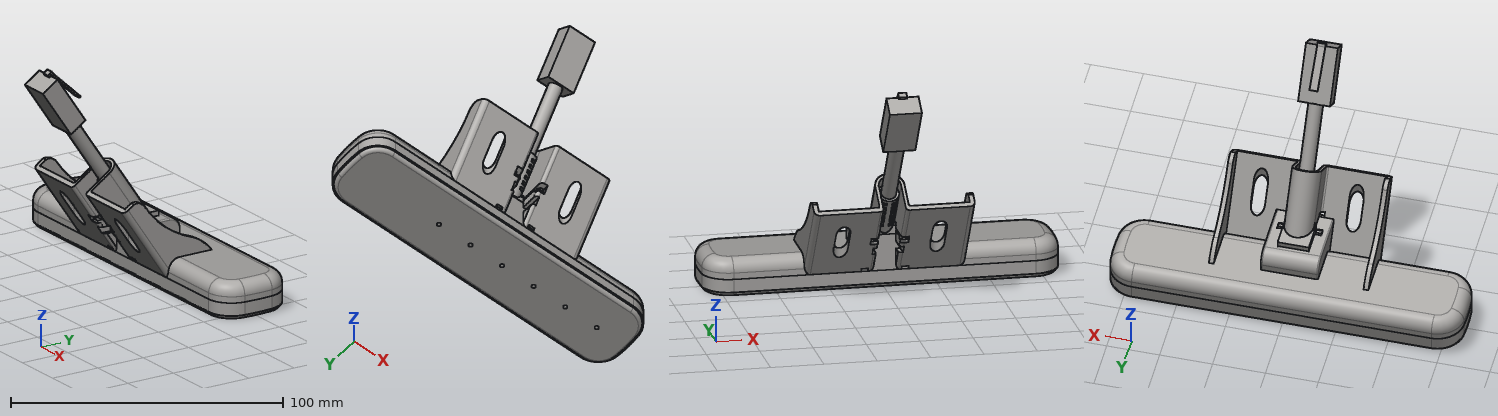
import cadquery as cq
import math

lamp_length = 134.0
lamp_width = 30.5
end_bulge = 0.3
end_arc_half_width = 6.0
parting_z = 7.0
housing_top_z = 14.5
top_edge_radius = 5.0
dome_height = 0.3
base_bottom_z = dome_height
base_edge_z = 1.9
base_step = 0.5
base_edge_radius = 1.5

dome_radius = 0.8
dome_pitch = 15.0
dome_first_x = -23.3
dome_count = 6

far_front_y = -80.4
far_back_y = 53.6
far_top_z = 107.2

cable_tilt = math.radians(56)
mouth_y, mouth_z = -24.9, 42.6
cable_frame = cq.Plane(
    origin=(0, mouth_y, mouth_z),
    xDir=(1, 0, 0),
    normal=(0, -math.cos(cable_tilt), math.sin(cable_tilt)),
)

bracket_length = 53.6
side_wall_blank_top = 16.1
bracket_half_width = 30.2
side_wall = 1.9
flange_thickness = 2.0
flange_drop = 11.9
outer_bend_radius = 2.1
tunnel_inner_radius = 4.2
tunnel_radius = 5.5
tunnel_bend_radius = 1.3
tunnel_root_radius = 0.7
tunnel_end_z = 24.9

wall_heel = (4.0, 14.2)
wall_heel_mid = (0.5, 18.0)
wall_dip_start = (-3.8, 20.6)
wall_dip_mid = (-16.0, 27.0)
wall_dip_end = (-25.9, 37.4)
wall_crest_mid = (-28.5, 39.0)
wall_crest = (-31.5, 38.5)

slot_x = 18.1
slot_y = -25.5
slot_width = 5.4
slot_length = 9.9

hump_half_width = 10.9
hump_back_y = 2.8
hump_front_y = -21.7
hump_top_z = 22.0
hump_back_radius = 4.8
hump_rim_radius = 0.5
tab_half_width = 7.1
tab_front_y = -23.7
tab_bottom_z = 20.0
tab_top_z = 21.0
window_top_z = 22.8
channel_back_y = -lamp_width / 2
lower_window_half_width = 5.8
lower_window_bottom_z = 15.1
lower_window_top_z = 18.0
snap_pocket_half_span = 8.3
snap_pocket_length = 2.8
snap_pocket_depth = 4.0
snap_wing_length = 1.3
snap_wing_top_z = 21.5
foot_notch_inner_x = 6.3
foot_notch_width = 2.5
foot_notch_height = 1.3

block_half_width = 5.9
block_back_y = -3.4
block_bottom_z = 20.8
block_top_z = 24.0
sleeve_radius = 3.9
sleeve_top = -4.4
sleeve_bottom = -29.5
groove_count = 6
groove_pitch = 2.4
groove_first = -7.2
groove_width = 1.1
groove_depth = 1.0
groove_spine_half_width = 1.0

cable_radius = 2.8
cable_start = -24.1
plug_width = 12.0
plug_height = 7.8
plug_length = 22.1
plug_start = 25.2
latch_width = 3.1
latch_head_length = 1.1
latch_head_bottom = 3.1
latch_head_top = 5.2
latch_root = 4.4
latch_arm_reach = 16.2
latch_tip_bottom = 8.2
latch_thickness = 0.8


def box(x_min, x_max, y_min, y_max, z_min, z_max):
    """Axis-parallel block between the given limits."""
    block = cq.Workplane("XY").box(x_max - x_min, y_max - y_min, z_max - z_min, centered=False)
    return block.translate((x_min, y_min, z_min))


def centred_box(half_width, y_min, y_max, z_min, z_max):
    """Block that is symmetrical about the YZ plane."""
    return box(-half_width, half_width, y_min, y_max, z_min, z_max)


def lamp_slab(z_min, z_max, inset=0.0):
    """Slab with the lamp's outline: straight sides, bowed ends and round corners tangent to both."""
    tip_x = lamp_length / 2
    half_width = lamp_width / 2
    end_x = tip_x - end_bulge
    end_slope = 2 * math.atan(end_bulge / end_arc_half_width)
    corner_radius = (half_width - end_arc_half_width) / (1 - math.sin(end_slope))
    side_x = end_x - corner_radius * math.cos(end_slope)
    outline = (
        cq.Workplane("XY")
        .workplane(offset=z_min)
        .moveTo(-side_x, -half_width)
        .lineTo(side_x, -half_width)
        .tangentArcPoint((end_x, -end_arc_half_width), relative=False)
        .threePointArc((tip_x, 0), (end_x, end_arc_half_width))
        .tangentArcPoint((side_x, half_width), relative=False)
        .lineTo(-side_x, half_width)
        .tangentArcPoint((-end_x, end_arc_half_width), relative=False)
        .threePointArc((-tip_x, 0), (-end_x, -end_arc_half_width))
        .tangentArcPoint((-side_x, -half_width), relative=False)
        .close()
    )
    if inset > 0:
        outline = outline.offset2D(-inset)
    return outline.extrude(z_max - z_min)


def make_dome():
    """Shallow spherical cap that stands on Z = 0 and is rooted in the base."""
    sphere_radius = (dome_radius**2 + dome_height**2) / (2 * dome_height)
    cap = cq.Workplane("XY").sphere(sphere_radius).translate((0, 0, sphere_radius))
    return cap.intersect(centred_box(
        2 * dome_radius, -2 * dome_radius, 2 * dome_radius, 0, 2 * dome_height))


def make_base():
    """Lower part of the lamp, with a stepped, rounded bottom edge and a row of small domes."""
    base = lamp_slab(base_edge_z, parting_z)
    rim = lamp_slab(base_bottom_z, base_edge_z, base_step)
    rim = rim.faces("<Z").edges().fillet(base_edge_radius)
    base = base.union(rim)
    for i in range(dome_count):
        base = base.union(make_dome().translate((dome_first_x + i * dome_pitch, 0, 0)))
    return base


def bracket_half():
    """Right-hand half of the bent sheet: tunnel leg, flange and an untrimmed side wall."""
    flange_top = flange_thickness - flange_drop
    sheet = (
        cq.Workplane(cable_frame)
        .moveTo(tunnel_inner_radius, 0)
        .lineTo(tunnel_inner_radius, -flange_drop)
        .lineTo(bracket_half_width, -flange_drop)
        .lineTo(bracket_half_width, side_wall_blank_top)
        .lineTo(bracket_half_width - side_wall, side_wall_blank_top)
        .lineTo(bracket_half_width - side_wall, flange_top)
        .lineTo(tunnel_radius, flange_top)
        .lineTo(tunnel_radius, 0)
        .close()
        .extrude(-bracket_length)
    )
    corners = (
        (tunnel_inner_radius, -flange_drop, tunnel_bend_radius),
        (tunnel_radius, flange_top, tunnel_root_radius),
        (bracket_half_width, -flange_drop, outer_bend_radius),
    )
    for x, drop, radius in corners:
        edge_middle = cable_frame.toWorldCoords((x, drop, -bracket_length / 2))
        sheet = sheet.edges(cq.selectors.NearestToPointSelector(edge_middle)).fillet(radius)
    return sheet


def side_wall_trim():
    """Space above the S-shaped upper edge of the side walls."""
    inner_x = bracket_half_width - 1.5 * side_wall
    region = (
        cq.Workplane("YZ")
        .workplane(offset=inner_x)
        .moveTo(*wall_heel)
        .threePointArc(wall_heel_mid, wall_dip_start)
        .threePointArc(wall_dip_mid, wall_dip_end)
        .threePointArc(wall_crest_mid, wall_crest)
        .lineTo(wall_crest[0], far_top_z)
        .lineTo(far_back_y, far_top_z)
        .lineTo(far_back_y, 0)
        .lineTo(wall_heel[0], 0)
        .close()
        .extrude(2 * side_wall)
    )
    return region.union(region.mirror("YZ"))


def make_bracket():
    """Bent bracket with its tunnel, trimmed side walls, mounting slots, notches and tab window."""
    half = bracket_half()
    crown = (
        cq.Workplane(cable_frame)
        .moveTo(-tunnel_radius, 0)
        .threePointArc((0, tunnel_radius), (tunnel_radius, 0))
        .lineTo(tunnel_inner_radius, 0)
        .threePointArc((0, tunnel_inner_radius), (-tunnel_inner_radius, 0))
        .close()
        .extrude(-bracket_length)
    )
    bracket = half.union(half.mirror("YZ")).union(crown)
    bracket = bracket.cut(side_wall_trim())
    bracket = bracket.cut(centred_box(
        2 * tunnel_radius, channel_back_y, far_back_y, 0, tunnel_end_z))
    bracket = bracket.intersect(centred_box(
        lamp_length, far_front_y, far_back_y, parting_z, far_top_z))
    slots = (
        cq.Workplane("XY")
        .pushPoints([(-slot_x, slot_y), (slot_x, slot_y)])
        .slot2D(slot_length, slot_width, 90)
        .extrude(far_top_z)
    )
    bracket = bracket.cut(slots)
    foot_notch = box(
        foot_notch_inner_x, foot_notch_inner_x + foot_notch_width, far_front_y, channel_back_y,
        parting_z, parting_z + foot_notch_height)
    bracket = bracket.cut(foot_notch).cut(foot_notch.mirror("YZ"))
    return bracket.cut(centred_box(
        tab_half_width, far_front_y, channel_back_y, tab_bottom_z, window_top_z))


def space_in_front_of_flange():
    """Everything on the front side of the middle plane of the bracket's flanges."""
    reach = bracket_length
    middle_drop = flange_drop - flange_thickness / 2
    return (
        cq.Workplane(cable_frame)
        .center(0, -middle_drop - reach / 2)
        .rect(lamp_length, reach)
        .extrude(-bracket_length)
    )


def make_hump():
    """Rounded hump behind the flanges, with a tab that reaches into the bracket's window."""
    hump = centred_box(hump_half_width, hump_front_y, hump_back_y, parting_z, hump_top_z)
    hump = hump.edges(">Y and >Z").fillet(hump_back_radius)
    hump = hump.faces("<X or >X").edges("not (<Z or <Y)").fillet(hump_rim_radius)
    hump = hump.cut(space_in_front_of_flange())
    tab = centred_box(tab_half_width, tab_front_y, channel_back_y, tab_bottom_z, tab_top_z)
    return hump.union(tab)


def make_housing():
    """Upper part of the lamp in one piece with the hump and the bracket."""
    housing = lamp_slab(parting_z, housing_top_z).faces(">Z").edges().fillet(top_edge_radius)
    housing = housing.union(make_hump()).union(make_bracket())
    housing = housing.cut(centred_box(
        tunnel_inner_radius, far_front_y, channel_back_y, parting_z, window_top_z))
    housing = housing.cut(centred_box(
        lower_window_half_width, far_front_y, channel_back_y,
        lower_window_bottom_z, lower_window_top_z))
    housing = housing.cut(centred_box(
        block_half_width, channel_back_y, block_back_y, block_bottom_z, tunnel_end_z))
    return housing.cut(snap_pockets())


def snap_pockets():
    """Pockets in the hump on both sides of the gland block."""
    floor_z = hump_top_z - snap_pocket_depth
    back_y = channel_back_y + snap_pocket_length
    pocket = box(
        block_half_width, snap_pocket_half_span, channel_back_y, back_y, floor_z, tunnel_end_z)
    return pocket.union(pocket.mirror("YZ"))


def groove_cutter(start):
    """Ring that starts at the given place on the axis, parted above and below by a spine."""
    plane = cq.Workplane(cable_frame).workplane(offset=start)
    outer_radius = 2 * sleeve_radius
    ring = plane.circle(outer_radius).circle(sleeve_radius - groove_depth).extrude(groove_width)
    spine = plane.rect(2 * groove_spine_half_width, 2 * outer_radius).extrude(groove_width)
    return ring.cut(spine)


def make_gland():
    """Block with snap wings, and the grooved sleeve that guides the cable into it."""
    sleeve = (
        cq.Workplane(cable_frame)
        .workplane(offset=sleeve_bottom)
        .circle(sleeve_radius)
        .extrude(sleeve_top - sleeve_bottom)
    )
    for i in range(groove_count):
        sleeve = sleeve.cut(groove_cutter(groove_first - i * groove_pitch))
    sleeve = sleeve.intersect(centred_box(
        lamp_length, far_front_y, far_back_y, block_bottom_z, far_top_z))
    block = centred_box(block_half_width, channel_back_y, block_back_y, block_bottom_z, block_top_z)
    wing = box(
        block_half_width, snap_pocket_half_span, channel_back_y, channel_back_y + snap_wing_length,
        hump_top_z - snap_pocket_depth, snap_wing_top_z)
    return block.union(wing).union(wing.mirror("YZ")).union(sleeve).cut(make_cable())


def make_cable():
    """Straight round cable from inside the gland to the plug."""
    return (
        cq.Workplane(cable_frame)
        .workplane(offset=cable_start)
        .circle(cable_radius)
        .extrude(plug_start - cable_start)
    )


def make_plug():
    """Rectangular plug with a slanting spring latch."""
    body = (
        cq.Workplane(cable_frame)
        .workplane(offset=plug_start)
        .rect(plug_width, plug_height)
        .extrude(plug_length)
    )
    end = plug_start + plug_length
    latch_frame = cq.Plane(
        origin=cable_frame.toWorldCoords((-latch_width / 2, 0, 0)),
        xDir=cable_frame.yDir, normal=(1, 0, 0))
    latch = (
        cq.Workplane(latch_frame)
        .polyline([
            (latch_head_bottom, end),
            (latch_head_bottom, end + latch_head_length),
            (latch_head_top, end + latch_head_length),
            (latch_head_top, end),
            (latch_tip_bottom + latch_thickness, end - latch_arm_reach),
            (latch_tip_bottom, end - latch_arm_reach),
            (latch_root, end),
        ])
        .close()
        .extrude(latch_width)
    )
    return body.union(latch)


base = make_base()
housing = make_housing()
gland = make_gland()
cable = make_cable()
plug = make_plug()
result = cq.Compound.makeCompound(
    [base.val(), housing.val(), gland.val(), cable.val(), plug.val()]
)